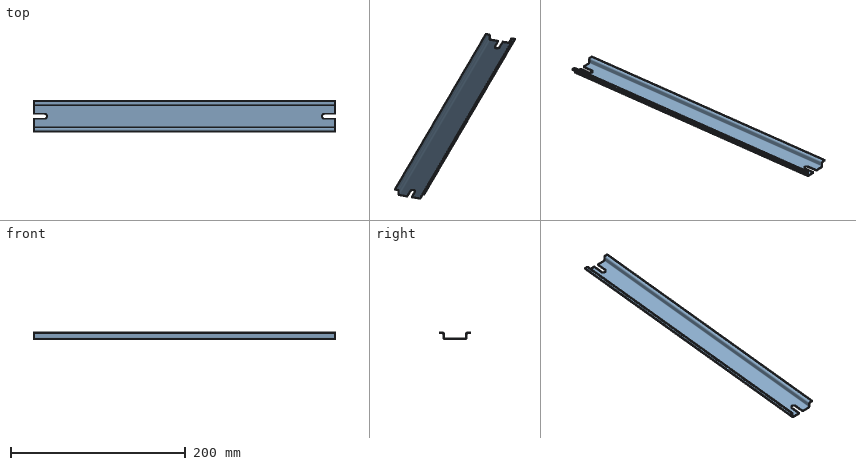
import cadquery as cq

rail_length = 345.0
rail_width = 35.0
rail_height = 7.5

sheet_thickness = 1.0
channel_width = 27.0
inner_bend_radius = 0.8
outer_bend_radius = inner_bend_radius + sheet_thickness

flange_tip = rail_width / 2
wall_outer = channel_width / 2
wall_inner = wall_outer - sheet_thickness
flange_underside = rail_height - sheet_thickness

slot_width = 5.5
slot_depth = 15.0


def make_profile():
    """Top-hat section: a floor, two side walls and two outward flanges."""
    return (
        cq.Workplane("YZ")
        .moveTo(-flange_tip, rail_height)
        .lineTo(-wall_inner, rail_height)
        .lineTo(-wall_inner, sheet_thickness)
        .lineTo(wall_inner, sheet_thickness)
        .lineTo(wall_inner, rail_height)
        .lineTo(flange_tip, rail_height)
        .lineTo(flange_tip, flange_underside)
        .lineTo(wall_outer, flange_underside)
        .lineTo(wall_outer, 0)
        .lineTo(-wall_outer, 0)
        .lineTo(-wall_outer, flange_underside)
        .lineTo(-flange_tip, flange_underside)
        .close()
    )


def round_bends(rail):
    """Round both faces of the four folds with concentric radii."""
    mid_length = rail_length / 2
    inside_corners = [(wall_inner, sheet_thickness), (wall_outer, flange_underside)]
    outside_corners = [(wall_outer, 0), (wall_inner, rail_height)]
    bends = [(inside_corners, inner_bend_radius), (outside_corners, outer_bend_radius)]
    for corners, radius in bends:
        for y, z in corners:
            for side in (-1, 1):
                edge = cq.selectors.NearestToPointSelector((mid_length, side * y, z))
                rail = rail.edges("|X").edges(edge).fillet(radius)
    return rail


def make_end_slot(end_x):
    """Cutter for a round-ended slot that opens through the rail end at end_x."""
    return (
        cq.Workplane("XY")
        .center(end_x, 0)
        .slot2D(2 * slot_depth, slot_width)
        .extrude(rail_height)
    )


rail = round_bends(make_profile().extrude(rail_length))
for end_x in (0, rail_length):
    rail = rail.cut(make_end_slot(end_x))

result = rail.translate((-rail_length / 2, 0, 0))